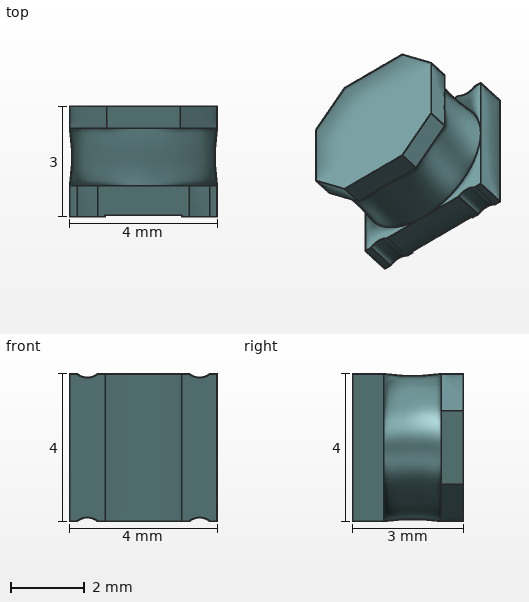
import cadquery as cq

width = 4.0
depth = 3.0
half = width / 2

base_thickness = 0.85
pad_width = 0.96
pad_height = 0.04

notch_offset = 0.48
notch_width = 0.56
notch_depth = 0.1
notch_radius = ((notch_width / 2) ** 2 + notch_depth**2) / (2 * notch_depth)

rear_thickness = 0.6
corner_cut = 1.0

winding_end_radius = half
winding_waist_radius = 1.945


def make_base():
    """Square flange, relieved between the pads and notched at four places."""
    base = cq.Workplane("XY").box(width, base_thickness, width, centered=(True, False, True))
    relief = cq.Workplane("XY").box(
        width - 2 * pad_width, pad_height, width, centered=(True, False, True)
    )
    notch_x = half - notch_offset
    notch_z = half - notch_depth + notch_radius
    notches = (
        cq.Workplane("XZ")
        .pushPoints([(x, z) for x in (-notch_x, notch_x) for z in (-notch_z, notch_z)])
        .circle(notch_radius)
        .extrude(-base_thickness)
    )
    return base.cut(relief).cut(notches)


def make_winding():
    """Revolved concave barrel joining the two flanges."""
    start = base_thickness
    end = depth - rear_thickness
    return (
        cq.Workplane("XY")
        .moveTo(0, start)
        .lineTo(winding_end_radius, start)
        .threePointArc((winding_waist_radius, (start + end) / 2), (winding_end_radius, end))
        .lineTo(0, end)
        .close()
        .revolve(360, (0, 0, 0), (0, 1, 0))
    )


def make_rear_flange():
    """Square plate with its four corners cut off."""
    return (
        cq.Workplane("XY")
        .box(width, rear_thickness, width, centered=(True, False, True))
        .edges("|Y")
        .chamfer(corner_cut)
        .translate((0, depth - rear_thickness, 0))
    )


result = make_base().union(make_winding()).union(make_rear_flange())